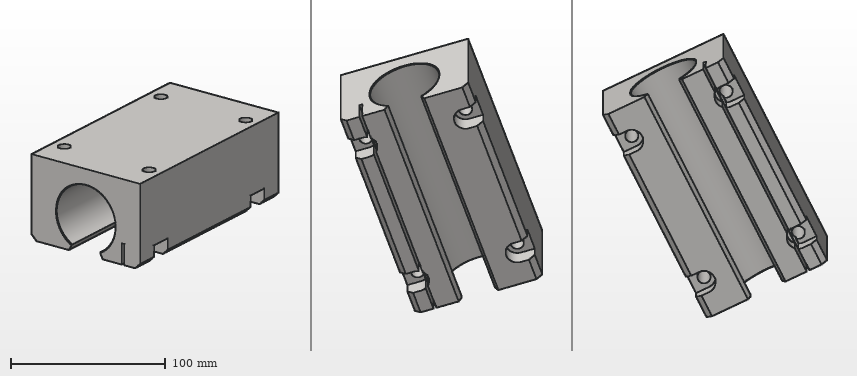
import cadquery as cq
import math

WIDTH = 87.0
LENGTH = 152.0
HEIGHT = 60.0

BEVEL = 4.0

BORE_DIAMETER = 47.0
BORE_DEPTH_BELOW_TOP = 35.0
BORE_AXIS_Z = HEIGHT - BORE_DEPTH_BELOW_TOP
BORE_CHAMFER = 0.5
OPENING_HALF_ANGLE = math.radians(28.5)

SLOT_WIDTH = 2.0
SLOT_HEIGHT = 15.0
SLOT_CENTRE_X = 29.75

HOLE_DIAMETER = 8.6
HOLE_SPACING_X = 68.0
HOLE_SPACING_Y = 106.0
POCKET_WIDTH = 15.0
POCKET_HEIGHT = 12.0


def make_block():
    """Rectangular block with bevelled lower long edges."""
    half_width = WIDTH / 2
    return (
        cq.Workplane("XZ")
        .moveTo(-half_width, HEIGHT)
        .lineTo(half_width, HEIGHT)
        .lineTo(half_width, BEVEL)
        .lineTo(half_width - BEVEL, 0)
        .lineTo(-half_width + BEVEL, 0)
        .lineTo(-half_width, BEVEL)
        .close()
        .extrude(LENGTH / 2, both=True)
    )


def make_bore():
    """Cylinder along Y that flares by the chamfer size at both ends."""
    radius = BORE_DIAMETER / 2
    half_length = LENGTH / 2
    return (
        cq.Workplane("XY")
        .moveTo(0, -half_length)
        .lineTo(radius + BORE_CHAMFER, -half_length)
        .lineTo(radius, -half_length + BORE_CHAMFER)
        .lineTo(radius, half_length - BORE_CHAMFER)
        .lineTo(radius + BORE_CHAMFER, half_length)
        .lineTo(0, half_length)
        .close()
        .revolve(360, (0, 0, 0), (0, 1, 0))
        .translate((0, 0, BORE_AXIS_Z))
    )


def make_opening():
    """Wedge from the bore axis down to the underside, with radial flanks."""
    half_width = BORE_AXIS_Z * math.tan(OPENING_HALF_ANGLE)
    return (
        cq.Workplane("XZ")
        .moveTo(0, BORE_AXIS_Z)
        .lineTo(half_width, 0)
        .lineTo(-half_width, 0)
        .close()
        .extrude(LENGTH / 2, both=True)
    )


def make_clamp_slot():
    """Narrow slot cut up from the underside over the full length."""
    return (
        cq.Workplane("XY")
        .box(SLOT_WIDTH, LENGTH, SLOT_HEIGHT, centered=(True, True, False))
        .translate((SLOT_CENTRE_X, 0, 0))
    )


def make_mounting_hole(side, y):
    """Through hole with a round-ended pocket that runs out of the block's side (side is -1 or +1)."""
    x = side * HOLE_SPACING_X / 2
    run_out = WIDTH / 2 - abs(x)
    hole = cq.Workplane("XY").center(x, y).circle(HOLE_DIAMETER / 2).extrude(HEIGHT)
    round_end = cq.Workplane("XY").center(x, y).circle(POCKET_WIDTH / 2).extrude(POCKET_HEIGHT)
    outlet = (
        cq.Workplane("XY")
        .center(x + side * run_out / 2, y)
        .rect(run_out, POCKET_WIDTH)
        .extrude(POCKET_HEIGHT)
    )
    return hole.union(round_end).union(outlet)


def make_part():
    """Block with the bore, opening, clamp slot and mounting holes removed."""
    part = make_block().cut(make_bore()).cut(make_opening()).cut(make_clamp_slot())
    for side in (-1, 1):
        for y in (-HOLE_SPACING_Y / 2, HOLE_SPACING_Y / 2):
            part = part.cut(make_mounting_hole(side, y))
    return part


result = make_part()